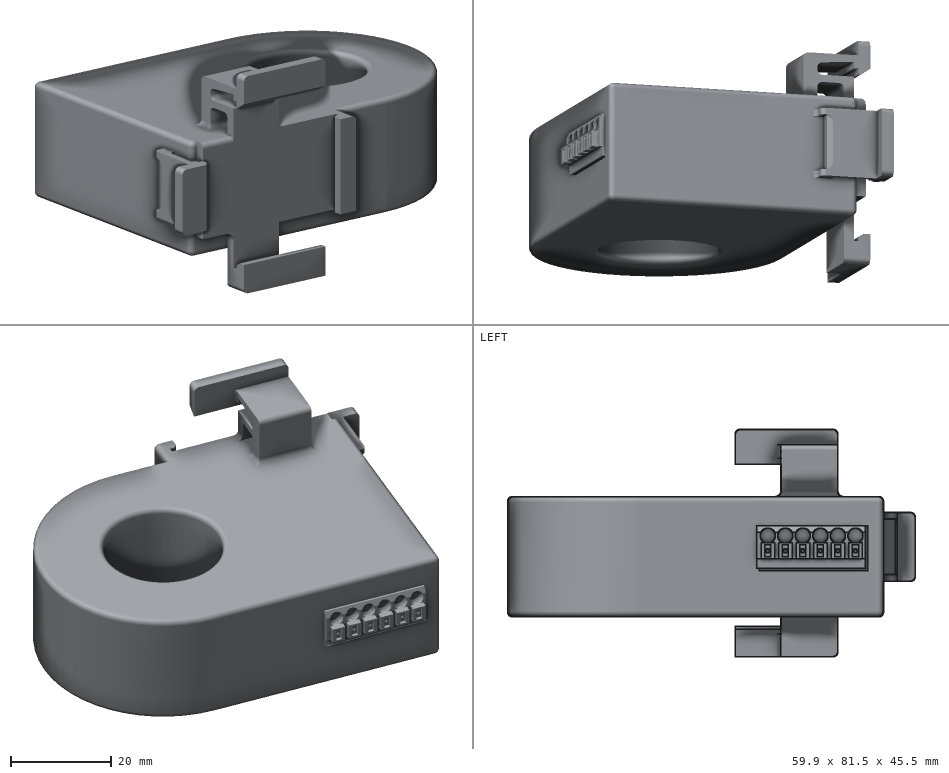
import cadquery as cq

housing_radius = 26.0
housing_front = -49.15
housing_height = 24.05
bore_radius = 12.0
edge_radius = 1.1

plate_inner = housing_radius - edge_radius
plate_face = 28.1
jaw_inner = 29.1
jaw_outer = 31.5
plate_bottom = 4.15
plate_back = -11.8
plate_front = -47.75

fixed_jaw_thickness = 2.4
fixed_jaw_length = 4.0
tip_chamfer = 0.65
lead_in = 1.1

clip_back = -28.6
clip_front = -40.0
jaw_back = -19.5
leg_left = 17.5
leg_right = 20.45
arm_taper = 0.6
hook_depth = 1.3
nook_radius = 0.6

top_jaw_top = 37.5
top_jaw_tip = 30.5
top_arm_top = 34.4
top_arm_thickness = 1.4
bar_top = 30.0
bar_bottom = 28.5

low_jaw_bottom = -8.0
low_jaw_tip = -1.9
low_hook_floor = -3.4
gusset_radius = 1.95

latch_bottom = 7.1
latch_top = 20.9
latch_arm_front = -51.9
latch_arm_thickness = 1.3
latch_hook_depth = 1.0
latch_jaw_front = -55.5
latch_jaw_tip = -48.5
recess_wall = 18.75
recess_margin = 1.3
recess_bevel_width = 1.15
recess_bevel_depth = 0.4
recess_end_radius = 1.6

pole_count = 6
pole_pitch = 3.5
first_pole_y = -26.0
terminal_back = -23.8
terminal_front = -45.5
terminal_bottom = 9.7
terminal_top = 18.25
terminal_base = -26.4
terminal_ridge = -27.05
socket_face = -28.4
socket_bottom = 11.6
socket_top = 14.8
socket_width = 2.7
ridge_top = 16.95
terminal_root = -24.4
terminal_gap = 0.5
button_z = 16.2
button_radius = 1.51
button_floor = -25.3
entry_width = 1.2
entry_height = 2.45
entry_depth = 0.65
wire_radius = 0.4
wire_depth = 1.3

selection_margin = 0.1


def block(x0, x1, y0, y1, z0, z1):
    """Box given by its limits along each axis."""
    return cq.Workplane("XY").box(x1 - x0, y1 - y0, z1 - z0, centered=False).translate((x0, y0, z0))


def prism_z(points, z0, z1):
    """Outline in X and Y, extruded from z0 up to z1."""
    return cq.Workplane("XY").workplane(offset=z0).polyline(points).close().extrude(z1 - z0)


def prism_y(points, y0, y1):
    """Outline in X and Z, extruded from y0 back to y1."""
    return cq.Workplane("XZ", origin=(0, y0, 0)).polyline(points).close().extrude(y0 - y1)


def fillet_edges_within(solid, x_limits, y_limits, z_limits, radius):
    """Fillet every edge whose middle lies in the given box, widened by the selection margin."""
    limits = (x_limits, y_limits, z_limits)
    low = tuple(limit[0] - selection_margin for limit in limits)
    high = tuple(limit[1] + selection_margin for limit in limits)
    return solid.edges(cq.selectors.BoxSelector(low, high)).fillet(radius)


def make_housing():
    outline = (
        cq.Workplane("XY")
        .moveTo(-housing_radius, housing_front)
        .lineTo(housing_radius, housing_front)
        .lineTo(housing_radius, 0)
        .threePointArc((0, housing_radius), (-housing_radius, 0))
        .close()
    )
    solid = outline.extrude(housing_height).edges("|Z and <Y").fillet(edge_radius)
    bore = cq.Workplane("XY").circle(bore_radius).extrude(housing_height)
    return solid.cut(bore).faces("<Z or >Z").edges().fillet(edge_radius)


def make_mounting_plate():
    jaw_root = plate_back - fixed_jaw_thickness
    jaw_tip = plate_back - fixed_jaw_length
    back_part = prism_z(
        [
            (plate_inner, plate_back),
            (jaw_outer, plate_back),
            (jaw_outer, jaw_tip),
            (jaw_inner + tip_chamfer, jaw_tip),
            (jaw_inner, jaw_tip + tip_chamfer),
            (jaw_inner, jaw_root),
            (plate_face, jaw_root),
            (plate_face, clip_front),
            (plate_inner, clip_front),
        ],
        plate_bottom,
        housing_height,
    )
    back_part = back_part.edges(">Z and >Y").fillet(edge_radius)
    front_part = block(plate_inner, plate_face, plate_front, clip_front, plate_bottom, housing_height)
    front_part = front_part.edges(">X and >Z").fillet(edge_radius)
    return back_part.union(front_part)


def make_nook(z0, z1):
    """Concave fillet between the back face of a clip arm and its wider jaw."""
    corner = (jaw_inner - nook_radius, clip_back)
    nook = block(corner[0], jaw_inner, clip_back, clip_back + nook_radius, z0, z1)
    hollow = (
        cq.Workplane("XY", origin=(corner[0], clip_back + nook_radius, z0)).circle(nook_radius).extrude(z1 - z0)
    )
    return nook.cut(hollow)


def make_top_clip():
    slot_top = top_arm_top - top_arm_thickness
    body = block(leg_left, plate_face, clip_front, clip_back, housing_height, top_arm_top)
    body = body.edges("|Y and <X and >Z").fillet(edge_radius)
    slot = prism_y(
        [
            (leg_right, bar_top),
            (plate_face, bar_top),
            (plate_face, slot_top),
            (leg_right, slot_top - arm_taper),
        ],
        clip_back,
        clip_front,
    )
    slot = slot.edges("|Y and <X").fillet(edge_radius)
    window = block(leg_right, housing_radius, clip_front, clip_back, housing_height, bar_bottom)
    window = window.edges("|Y and >Z").fillet(edge_radius)
    hook = block(plate_face, jaw_inner, clip_front, clip_back, slot_top - hook_depth, top_arm_top)
    jaw = prism_y(
        [
            (jaw_inner, top_jaw_top),
            (jaw_outer, top_jaw_top),
            (jaw_outer, top_jaw_tip + hook_depth),
            (jaw_inner + tip_chamfer / 2, top_jaw_tip),
            (jaw_inner, top_jaw_tip),
        ],
        jaw_back,
        clip_front,
    )
    jaw = jaw.edges("|X and >Z").fillet(edge_radius)
    nook = make_nook(slot_top - hook_depth, top_arm_top)
    return body.cut(slot).cut(window).union(hook).union(jaw).union(nook)


def make_bottom_hook():
    arm = block(housing_radius, plate_face, clip_front, clip_back, low_jaw_bottom, plate_bottom)
    foot = block(housing_radius, jaw_inner, clip_front, clip_back, low_jaw_bottom, low_hook_floor)
    jaw = prism_y(
        [
            (jaw_inner, low_jaw_bottom),
            (jaw_outer, low_jaw_bottom),
            (jaw_outer, low_jaw_tip),
            (jaw_inner + lead_in, low_jaw_tip),
            (jaw_inner, low_jaw_tip - tip_chamfer),
        ],
        jaw_back,
        clip_front,
    )
    hook = arm.union(foot).union(jaw)
    hook = hook.edges("|X and <Z and <Y").fillet(edge_radius)
    return hook.union(make_nook(low_jaw_bottom, low_hook_floor))


def make_front_latch():
    arm_inner = latch_arm_front + latch_arm_thickness
    leg = block(leg_left, plate_face, latch_arm_front, housing_front, latch_bottom, latch_top)
    leg = leg.edges("|Z and <X and <Y").fillet(edge_radius)
    slot = prism_z(
        [
            (leg_right, housing_front),
            (plate_face, housing_front),
            (plate_face, arm_inner),
            (leg_right, arm_inner + arm_taper / 2),
        ],
        latch_bottom,
        latch_top,
    )
    slot = slot.edges("|Z and <X").edges("<Y").fillet(edge_radius)
    hook = block(plate_face, jaw_inner, latch_arm_front, arm_inner + latch_hook_depth, latch_bottom, latch_top)
    jaw = prism_z(
        [
            (jaw_inner, latch_jaw_front),
            (jaw_outer, latch_jaw_front),
            (jaw_outer, latch_jaw_tip - lead_in),
            (jaw_inner + lead_in, latch_jaw_tip),
            (jaw_inner, latch_jaw_tip),
        ],
        latch_bottom,
        latch_top,
    )
    jaw = jaw.edges("|X and <Y").fillet(edge_radius)
    return leg.cut(slot).union(hook).union(jaw)


def make_latch_recess():
    """Cut that sets back the middle of the latch leg, with a bevelled front corner and rounded ends."""
    z0 = latch_bottom + recess_margin
    z1 = latch_top - recess_margin
    recess_left = leg_left - edge_radius
    bevel_right = recess_wall + recess_bevel_width
    cut = prism_z(
        [
            (recess_left, housing_front),
            (recess_wall, housing_front),
            (recess_wall, latch_arm_front + recess_bevel_depth),
            (bevel_right, latch_arm_front),
            (recess_left, latch_arm_front),
        ],
        z0,
        z1,
    )
    rounded = block(recess_left, bevel_right, latch_arm_front, housing_front, z0, z1)
    return cut.intersect(rounded.edges("|Y and >X").fillet(recess_end_radius))


def make_terminal_seat():
    return block(
        -housing_radius,
        terminal_root,
        terminal_front - terminal_gap,
        terminal_back - terminal_gap,
        terminal_bottom - terminal_gap,
        terminal_top,
    )


def rod_x(x0, x1, y, z, radius):
    """Round rod along X, from x0 to x1."""
    return cq.Workplane("YZ", origin=(x0, y, z)).circle(radius).extrude(x1 - x0)


def make_terminal_block():
    profile = [
        (terminal_root, terminal_bottom),
        (terminal_base, terminal_bottom),
        (terminal_base, socket_bottom),
        (terminal_ridge, socket_bottom),
        (terminal_ridge, ridge_top),
        (terminal_base, terminal_top),
        (terminal_root, terminal_top),
    ]
    terminal = prism_y(profile, terminal_back, terminal_front)
    entry_z = (socket_bottom + socket_top) / 2
    entry_low = entry_z - entry_height / 2
    entry_high = entry_z + entry_height / 2
    entry_floor = socket_face + entry_depth
    for pole in range(pole_count):
        y = first_pole_y - pole * pole_pitch
        button_hole = rod_x(socket_face, button_floor, y, button_z, button_radius)
        socket_y = (y - socket_width / 2, y + socket_width / 2)
        socket = block(socket_face, terminal_base, *socket_y, socket_bottom, socket_top)
        entry_y = (y - entry_width / 2, y + entry_width / 2)
        entry = block(socket_face, entry_floor, *entry_y, entry_low, entry_high)
        wire_hole = rod_x(socket_face, socket_face + wire_depth, y, entry_z, wire_radius)
        terminal = terminal.cut(button_hole).union(socket).cut(entry).cut(wire_hole)
    return terminal


part = make_housing().union(make_mounting_plate()).union(make_top_clip())

clip_y = (clip_front, clip_back)
deck_z = (housing_height, housing_height)
part = fillet_edges_within(part, (leg_left, leg_right), clip_y, deck_z, edge_radius)
part = fillet_edges_within(
    part, (housing_radius, plate_face), (clip_back, clip_back), deck_z, edge_radius
)

part = part.union(make_bottom_hook())
part = fillet_edges_within(
    part, (plate_inner, plate_face), (clip_front, clip_front), (plate_bottom, plate_bottom), gusset_radius
)

part = part.union(make_front_latch())
part = fillet_edges_within(
    part,
    (leg_left, leg_left),
    (housing_front, housing_front),
    (latch_bottom, latch_top),
    edge_radius,
)
part = part.cut(make_latch_recess())

result = part.cut(make_terminal_seat()).union(make_terminal_block())